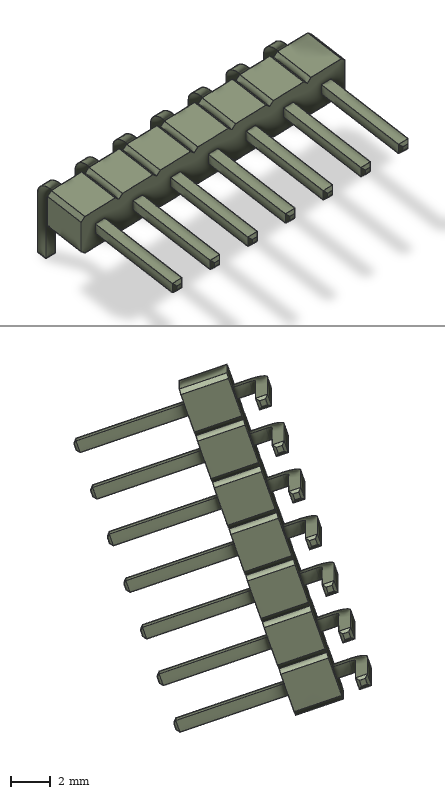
import cadquery as cq


strip_length = 17.78
pin_count = 7
housing_chamfer = 0.25
pin_width = 0.64
bend_inner_radius = 0.32
tail_offset = 1.83
contact_length = 6.0
tail_drop = 3.65
tip_chamfer = 0.16

pitch = strip_length / pin_count
housing_size = pitch
half_housing = housing_size / 2
half_pin = pin_width / 2
bend_radius = bend_inner_radius + half_pin
tail_x = -half_housing - tail_offset + half_pin
tail_tip_z = -half_housing - tail_drop
contact_tip_x = half_housing + contact_length
pin_positions = [(i - (pin_count - 1) / 2) * pitch for i in range(pin_count)]


def housing_cell(y):
    """Cube around one pin with its four long edges chamfered; neighbours meet in V notches."""
    return (
        cq.Workplane("XY")
        .box(housing_size, pitch, housing_size)
        .edges("|X")
        .chamfer(housing_chamfer)
        .translate((0, y, 0))
    )


def bent_pin(y):
    """Square wire bent down through a right angle, with both tips chamfered."""
    centreline = (
        cq.Workplane("XZ")
        .moveTo(tail_x, tail_tip_z)
        .lineTo(tail_x, -bend_radius)
        .radiusArc((tail_x + bend_radius, 0), bend_radius)
        .lineTo(contact_tip_x, 0)
    )
    pin = (
        cq.Workplane("XY", origin=(tail_x, 0, tail_tip_z))
        .rect(pin_width, pin_width)
        .sweep(centreline)
    )
    pin = pin.faces("<Z").chamfer(tip_chamfer)
    pin = pin.faces(">X").chamfer(tip_chamfer)
    return pin.translate((0, y, 0))


result = housing_cell(pin_positions[0])
for position in pin_positions[1:]:
    result = result.union(housing_cell(position))
result = result.clean()

for position in pin_positions:
    result = result.union(bent_pin(position))